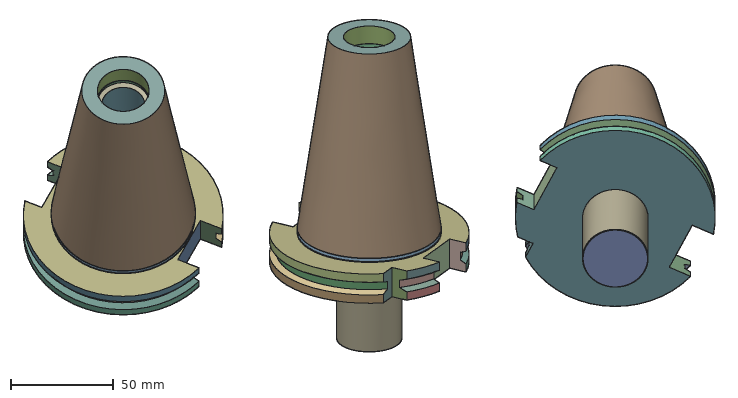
import cadquery as cq
import math

total_height = 161.6
stem_length = 41.2
flange_thickness = 15.7
neck_height = 2.3
neck_land_height = 0.5
neck_undercut_height = 0.5
flange_top = stem_length + flange_thickness
flange_middle = stem_length + flange_thickness / 2
neck_top = flange_top + neck_height

stem_diameter = 32.0
stem_chamfer = 0.3
flange_diameter = 97.3
neck_diameter = 69.3
taper_small_diameter = 40.4
taper_ratio = 7 / 24
taper_large_diameter = taper_small_diameter + taper_ratio * (total_height - neck_top)

groove_diameter = 91.1
groove_floor_width = 3.9
groove_wall_height = 1.5

drive_slot_width = 25.7
left_slot_floor = 37.8
right_slot_floor = 35.4
notch_x = -30.0
notch_y = 29.9

bore_diameter = 25.0
relief_diameter = 25.5
drill_diameter = 21.0
relief_start_depth = 9.5
relief_end_depth = 11.5
countersink_angle = 140.0
drill_depth = 48.5
drill_point_angle = 140.0


def turned_body():
    """Revolve the stem, flange, neck and taper in one outline."""
    stem_radius = stem_diameter / 2
    outline = [
        (0, 0),
        (stem_radius - stem_chamfer, 0),
        (stem_radius, stem_chamfer),
        (stem_radius, stem_length),
        (flange_diameter / 2, stem_length),
        (flange_diameter / 2, flange_top),
        (taper_large_diameter / 2, flange_top),
        (taper_large_diameter / 2, flange_top + neck_land_height),
        (neck_diameter / 2, neck_top - neck_undercut_height),
        (taper_large_diameter / 2, neck_top),
        (taper_small_diameter / 2, total_height),
        (0, total_height),
    ]
    return cq.Workplane("XZ").polyline(outline).close().revolve(360, (0, 0), (0, 1))


def gripper_groove():
    """Ring with a flat floor and walls sloping out to the flange rim."""
    floor_radius = groove_diameter / 2
    outer_radius = flange_diameter / 2
    half_floor = groove_floor_width / 2
    half_mouth = half_floor + groove_wall_height
    outline = [
        (floor_radius, flange_middle - half_floor),
        (outer_radius, flange_middle - half_mouth),
        (outer_radius, flange_middle + half_mouth),
        (floor_radius, flange_middle + half_floor),
    ]
    return cq.Workplane("XZ").polyline(outline).close().revolve(360, (0, 0), (0, 1))


def flange_cutout(inner_x, outer_x, low_y, high_y):
    """Rectangular block through the full flange thickness."""
    return (
        cq.Workplane("XY", origin=(0, 0, stem_length))
        .moveTo((inner_x + outer_x) / 2, (low_y + high_y) / 2)
        .rect(abs(outer_x - inner_x), high_y - low_y)
        .extrude(flange_thickness)
    )


def stepped_bore():
    """Bore with a relief groove, a countersink and a drilled hole ending in a cone."""
    relief_top = total_height - relief_start_depth
    relief_bottom = total_height - relief_end_depth
    countersink_radial_width = (relief_diameter - drill_diameter) / 2
    countersink_depth = countersink_radial_width / math.tan(math.radians(countersink_angle / 2))
    drill_bottom = total_height - drill_depth
    point_height = drill_diameter / 2 / math.tan(math.radians(drill_point_angle / 2))
    outline = [
        (0, total_height),
        (bore_diameter / 2, total_height),
        (bore_diameter / 2, relief_top),
        (relief_diameter / 2, relief_top),
        (relief_diameter / 2, relief_bottom),
        (drill_diameter / 2, relief_bottom - countersink_depth),
        (drill_diameter / 2, drill_bottom),
        (0, drill_bottom - point_height),
    ]
    return cq.Workplane("XZ").polyline(outline).close().revolve(360, (0, 0), (0, 1))


half_slot = drive_slot_width / 2
left_slot = flange_cutout(-left_slot_floor, -flange_diameter, -half_slot, half_slot)
right_slot = flange_cutout(right_slot_floor, flange_diameter, -half_slot, half_slot)
corner_notch = flange_cutout(notch_x, -flange_diameter, notch_y, flange_diameter)

result = turned_body()
for cutter in (gripper_groove(), left_slot, right_slot, corner_notch, stepped_bore()):
    result = result.cut(cutter)